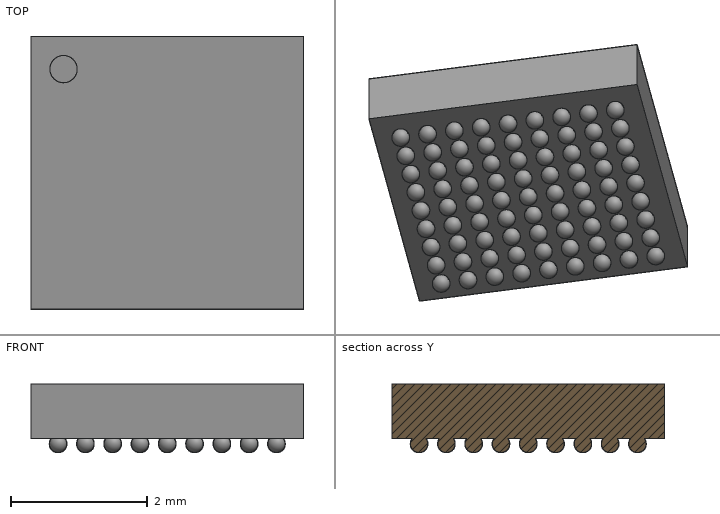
import cadquery as cq

body_side = 4.0
body_height = 0.8

ball_count = 9
ball_pitch = 0.4
ball_diameter = 0.26
ball_drop = 0.21
ball_centre_z = ball_diameter / 2 - ball_drop

mark_diameter = 0.4
mark_depth = 0.01
mark_inset = 0.48
mark_offset = body_side / 2 - mark_inset


def make_body():
    body = cq.Workplane("XY").box(body_side, body_side, body_height, centered=(True, True, False))
    mark = (
        cq.Workplane("XY", origin=(-mark_offset, mark_offset, body_height - mark_depth))
        .circle(mark_diameter / 2)
        .extrude(mark_depth)
    )
    return body.cut(mark)


def make_balls():
    return (
        cq.Workplane("XY", origin=(0, 0, ball_centre_z))
        .rarray(ball_pitch, ball_pitch, ball_count, ball_count)
        .sphere(ball_diameter / 2, combine=False)
    )


result = make_body().union(make_balls())